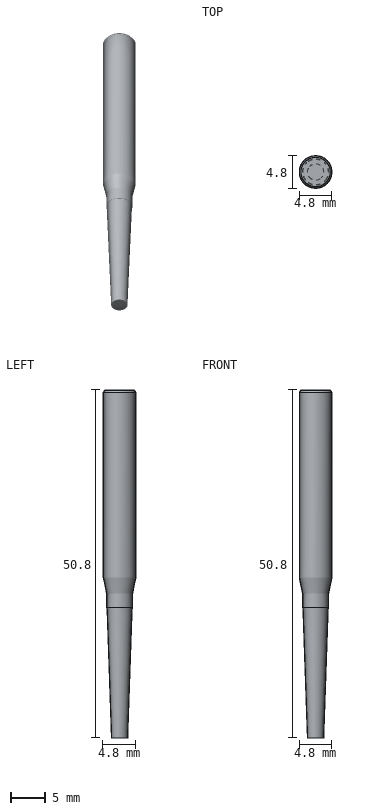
import cadquery as cq

total_length = 50.8
shank_diameter = 4.8
neck_diameter = 3.8
cutter_top_diameter = 3.7
tip_diameter = 2.4

cutter_length = 19.05
neck_length = 2.05
shoulder_length = 2.35

chamfer_height = 0.35
chamfer_width = 0.25

shank_radius = shank_diameter / 2
neck_radius = neck_diameter / 2
neck_top = cutter_length + neck_length
shoulder_top = neck_top + shoulder_length


def make_shank():
    """Chamfered shank that narrows through a conical shoulder to a straight neck."""
    return (
        cq.Workplane("XZ")
        .moveTo(0, cutter_length)
        .lineTo(neck_radius, cutter_length)
        .lineTo(neck_radius, neck_top)
        .lineTo(shank_radius, shoulder_top)
        .lineTo(shank_radius, total_length - chamfer_height)
        .lineTo(shank_radius - chamfer_width, total_length)
        .lineTo(0, total_length)
        .close()
        .revolve(360, (0, 0), (0, 1))
    )


def make_cutter():
    """Tapered cutting end that meets the flat lower face of the neck."""
    return (
        cq.Workplane("XZ")
        .lineTo(tip_diameter / 2, 0)
        .lineTo(cutter_top_diameter / 2, cutter_length)
        .lineTo(0, cutter_length)
        .close()
        .revolve(360, (0, 0), (0, 1))
    )


shank = make_shank()
cutter = make_cutter()

result = cq.Compound.makeCompound([shank.val(), cutter.val()])